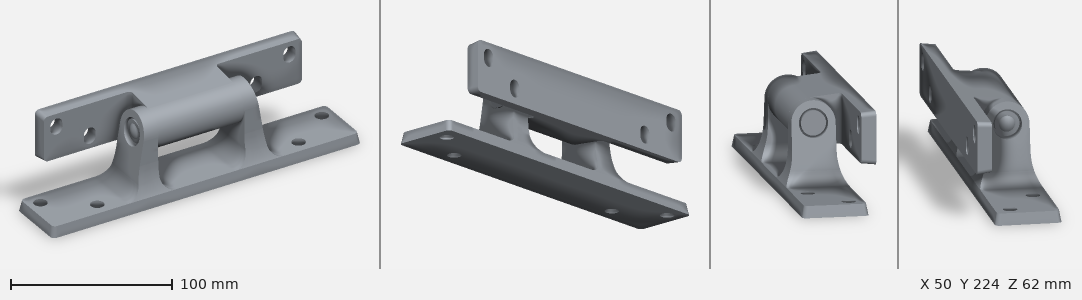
import cadquery as cq
import math

base_length = 224
base_width = 42
base_thickness = 7.5
base_draft = 10
plate_corner_radius = 3

base_hole_diameter = 9
base_hole_places = [(-10, 102), (10, 73)]

axis_height = 45
knuckle_radius = 14
knuckle_inner_y = 31.2
knuckle_draft = 9.5
knuckle_outer_y = 41.8
foot_radius = 10
flare_radius = 40

leaf_length = 189
leaf_height = 34
leaf_outer_x = -29
leaf_thickness = 9.3
barrel_half_length = 30.7
barrel_corner_radius = 2.5

slot_width = 8.5
slot_height = 11.5
slot_places = [(84.5, 7), (60.3, -7)]

bush_diameter = 18.4
bush_end_y = 38
pin_diameter = 15.8
pin_plain_end_y = 41.8
pin_domed_end_y = -40.2
dome_diameter = 10.2
dome_height = 1.8

base_top_half_width = base_width / 2 - base_thickness * math.tan(math.radians(base_draft))

leaf_half_height = leaf_height / 2
edge_angle = math.atan2(leaf_half_height, -leaf_outer_x)
edge_distance = math.hypot(leaf_half_height, leaf_outer_x)
leaf_draft = edge_angle - math.asin(knuckle_radius / edge_distance)
tangent_x = knuckle_radius * math.sin(leaf_draft)
tangent_z = knuckle_radius * math.cos(leaf_draft)
leaf_inner_x = leaf_outer_x + leaf_thickness


def axis_cylinder(diameter, y_start, y_end):
    """Cylinder on the pin axis between two Y positions."""
    return (
        cq.Workplane("XZ", origin=(0, y_start, axis_height))
        .circle(diameter / 2)
        .extrude(y_start - y_end)
    )


def mirror_to_other_end(shape):
    return shape.mirror("XZ")


def make_base_plate():
    plate = (
        cq.Workplane("XY")
        .rect(base_width, base_length)
        .extrude(base_thickness, taper=base_draft)
        .edges("not(#Z or |X or |Y)")
        .fillet(plate_corner_radius)
    )
    places = [(x, side * y) for x, y in base_hole_places for side in (1, -1)]
    holes = (
        cq.Workplane("XY")
        .pushPoints(places)
        .circle(base_hole_diameter / 2)
        .extrude(base_thickness)
    )
    return plate.cut(holes)


def make_knuckle():
    """Knuckle at +Y: its X-Z outline crossed with its Y-Z outline."""
    top = axis_height + knuckle_radius
    flare_width = base_top_half_width - knuckle_radius
    flare_height = math.sqrt(2 * flare_radius * flare_width - flare_width**2)
    flare_top = base_thickness + flare_height
    half_angle = math.asin(flare_height / flare_radius) / 2
    flare_mid_x = knuckle_radius + flare_radius * (1 - math.cos(half_angle))
    flare_mid_z = flare_top - flare_radius * math.sin(half_angle)
    across = (
        cq.Workplane("XZ")
        .moveTo(-base_top_half_width, base_thickness)
        .threePointArc((-flare_mid_x, flare_mid_z), (-knuckle_radius, flare_top))
        .lineTo(-knuckle_radius, axis_height)
        .radiusArc((0, top), knuckle_radius)
        .radiusArc((knuckle_radius, axis_height), knuckle_radius)
        .lineTo(knuckle_radius, flare_top)
        .threePointArc((flare_mid_x, flare_mid_z), (base_top_half_width, base_thickness))
        .close()
        .extrude(-base_length / 2)
    )

    draft = math.radians(knuckle_draft)
    draft_tan = math.tan(draft)
    face_top_y = knuckle_outer_y - knuckle_radius * draft_tan
    face_foot_y = knuckle_outer_y + (axis_height - base_thickness) * draft_tan
    tangent_length = foot_radius * math.tan((math.pi / 2 - draft) / 2)
    fillet_top_y = face_foot_y - tangent_length * math.sin(draft)
    fillet_top_z = base_thickness + tangent_length * math.cos(draft)
    along = (
        cq.Workplane("YZ")
        .moveTo(knuckle_inner_y - foot_radius, base_thickness)
        .radiusArc((knuckle_inner_y, base_thickness + foot_radius), -foot_radius)
        .lineTo(knuckle_inner_y, top)
        .lineTo(face_top_y, top)
        .lineTo(fillet_top_y, fillet_top_z)
        .radiusArc((face_foot_y + tangent_length, base_thickness), -foot_radius)
        .close()
        .extrude(base_width / 2, both=True)
    )
    bush_bore = axis_cylinder(bush_diameter, knuckle_inner_y, base_length / 2)
    return across.intersect(along).cut(bush_bore)


def make_base():
    knuckle = make_knuckle()
    return make_base_plate().union(knuckle).union(mirror_to_other_end(knuckle))


def make_leaf_plate():
    return (
        cq.Workplane("YZ", origin=(leaf_outer_x, 0, axis_height))
        .rect(leaf_length, leaf_height)
        .extrude(leaf_thickness, taper=math.degrees(leaf_draft))
        .edges("not(#X or |Y or |Z)")
        .fillet(plate_corner_radius)
    )


def make_barrel():
    inner_half_height = leaf_half_height - leaf_thickness * math.tan(leaf_draft)
    return (
        cq.Workplane("XZ", origin=(0, barrel_half_length, axis_height))
        .moveTo(leaf_inner_x, inner_half_height)
        .lineTo(tangent_x, tangent_z)
        .threePointArc((knuckle_radius, 0), (tangent_x, -tangent_z))
        .lineTo(leaf_inner_x, -inner_half_height)
        .close()
        .extrude(2 * barrel_half_length)
    )


def make_leaf():
    leaf = make_leaf_plate().union(make_barrel())
    corner_size = 0.5
    corners = cq.selectors.BoxSelector(
        (leaf_inner_x - corner_size, -barrel_half_length - corner_size, 0),
        (leaf_inner_x + corner_size, barrel_half_length + corner_size, 2 * axis_height),
    )
    leaf = leaf.edges("|Z").edges(corners).fillet(barrel_corner_radius)
    places = [(side * y, z) for y, z in slot_places for side in (1, -1)]
    slots = (
        cq.Workplane("YZ", origin=(leaf_outer_x, 0, axis_height))
        .pushPoints(places)
        .slot2D(slot_height, slot_width, 90)
        .extrude(leaf_thickness)
    )
    pin_bore = axis_cylinder(pin_diameter, -barrel_half_length, barrel_half_length)
    return leaf.cut(slots).cut(pin_bore)


def make_pin():
    """Pin turned about its axis, with a shallow spherical dome on its -Y end."""
    dome_radius = dome_diameter / 2
    sphere_radius = (dome_radius**2 + dome_height**2) / (2 * dome_height)
    return (
        cq.Workplane("YZ", origin=(0, 0, axis_height))
        .moveTo(pin_domed_end_y - dome_height, 0)
        .radiusArc((pin_domed_end_y, dome_radius), sphere_radius)
        .lineTo(pin_domed_end_y, pin_diameter / 2)
        .lineTo(pin_plain_end_y, pin_diameter / 2)
        .lineTo(pin_plain_end_y, 0)
        .close()
        .revolve(360, (0, 0, 0), (1, 0, 0))
    )


def make_bush():
    """Bush around the pin, ending below the outer face of its knuckle."""
    bush = axis_cylinder(bush_diameter, knuckle_inner_y, bush_end_y)
    return bush.cut(axis_cylinder(pin_diameter, knuckle_inner_y, bush_end_y))


def make_washer():
    """Thrust washer filling the gap between barrel and knuckle."""
    washer = axis_cylinder(2 * knuckle_radius, barrel_half_length, knuckle_inner_y)
    return washer.cut(axis_cylinder(pin_diameter, barrel_half_length, knuckle_inner_y))


base = make_base()
leaf = make_leaf()
pin = make_pin()
bodies = [base.val(), leaf.val(), pin.val()]
for part in (make_bush(), make_washer()):
    bodies.append(part.val())
    bodies.append(mirror_to_other_end(part).val())

result = cq.Compound.makeCompound(bodies)